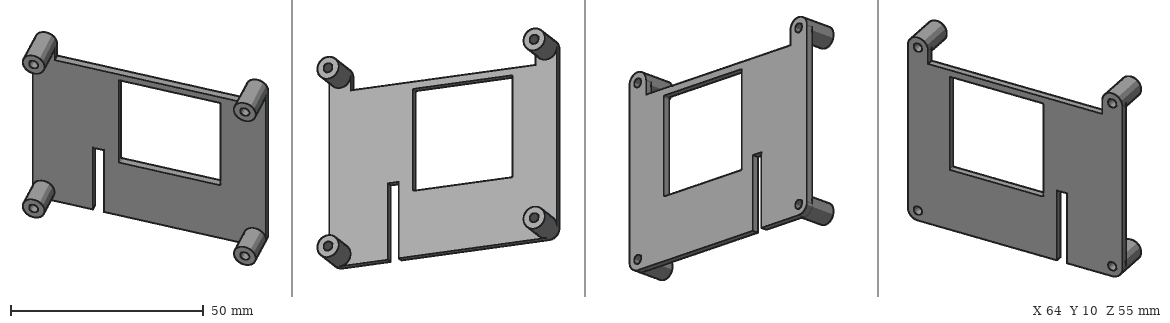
import cadquery as cq

width = 64.0
height = 55.0
plate_thickness = 2.0
post_length = 10.0

post_diameter = 6.0
post_radius = post_diameter / 2
hole_diameter = 2.5
post_span_x = width - post_diameter
post_span_z = height - post_diameter

top_edge_height = 47.95
window_size = 28.0
window_left = 23.55
window_bottom = 18.0
window_corner_radius = 0.3
slot_width = 3.0
slot_left = 16.5
slot_height = 21.0


def slab(left, bottom, size_x, size_z):
    """Block spanning the plate thickness, from its lower left corner."""
    return cq.Workplane("XY").box(size_x, plate_thickness, size_z, centered=False).translate((left, 0, bottom))


def posts(diameter, length):
    """Four corner cylinders running from the back face toward -Y."""
    return (
        cq.Workplane("XZ", origin=(width / 2, plate_thickness, height / 2))
        .rarray(post_span_x, post_span_z, 2, 2)
        .circle(diameter / 2)
        .extrude(length)
    )


def plate():
    """Plate with rounded lower corners and an ear up to each top post."""
    body = slab(0, 0, width, top_edge_height).edges("|Y and <Z").fillet(post_radius)
    ear_height = height - post_radius - top_edge_height
    for ear_left in (0, width - post_diameter):
        body = body.union(slab(ear_left, top_edge_height, post_diameter, ear_height))
    return body


window = slab(window_left, window_bottom, window_size, window_size)
window = window.edges("|Y").fillet(window_corner_radius)

slot = slab(slot_left, 0, slot_width, slot_height)

result = (
    plate()
    .cut(window)
    .cut(slot)
    .union(posts(post_diameter, post_length))
    .cut(posts(hole_diameter, post_length))
)